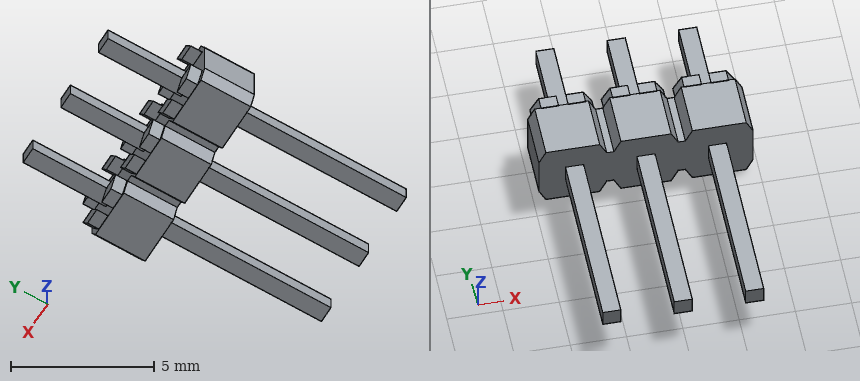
import cadquery as cq
import math

pin_count = 3
pitch = 2.54
pin_width = 0.65
pin_length = 12.15

body_length = pin_count * pitch
body_height = pitch
body_back = 2.71
body_front = 0.68
bevel_height = 0.5
bevel_width = bevel_height / 2
notch_floor_width = 0.25

foot_length = 0.46
foot_top = 1.24
foot_bottom = 0.69
foot_inner_top = 0.17
foot_outer_top = 0.79
foot_slope_angle = 30

foot_slope_run = (foot_top - foot_bottom) * math.tan(math.radians(foot_slope_angle))
notch_mouth_width = notch_floor_width + 2 * bevel_width
body_depth = body_back - body_front
pin_positions = [(i - (pin_count - 1) / 2) * pitch for i in range(pin_count)]
notch_positions = [x + pitch / 2 for x in pin_positions[:-1]]


def extrude_along_y(points, y_start, depth):
    """Extrude an XZ outline from y_start towards +Y."""
    return cq.Workplane("XZ", origin=(0, y_start, 0)).polyline(points).close().extrude(-depth)


def make_body():
    """Block with beveled ends and a tapered notch above and below between pins."""
    half_length = body_length / 2
    half_height = body_height / 2
    shoulder = half_height - bevel_height
    top_end = half_length - bevel_width
    upper_edge = [(-half_length, shoulder), (-top_end, half_height)]
    for x in notch_positions:
        upper_edge += [
            (x - notch_mouth_width / 2, half_height),
            (x - notch_floor_width / 2, shoulder),
            (x + notch_floor_width / 2, shoulder),
            (x + notch_mouth_width / 2, half_height),
        ]
    upper_edge += [(top_end, half_height), (half_length, shoulder)]
    lower_edge = [(x, -z) for x, z in reversed(upper_edge)]
    return extrude_along_y(upper_edge + lower_edge, body_front, body_depth)


def make_foot(pin_x, side_x, side_z):
    """Parallelogram foot leaning away from the pin, in one quadrant around it."""
    quadrant_outline = [
        (foot_inner_top + foot_slope_run, foot_bottom),
        (foot_outer_top + foot_slope_run, foot_bottom),
        (foot_outer_top, foot_top),
        (foot_inner_top, foot_top),
    ]
    points = [(pin_x + side_x * x, side_z * z) for x, z in quadrant_outline]
    return extrude_along_y(points, body_back, foot_length)


def make_pin(pin_x):
    """Square pin running the full length along Y."""
    return cq.Workplane("XY").box(pin_width, pin_length, pin_width).translate((pin_x, 0, 0))


result = make_body()
for pin_x in pin_positions:
    result = result.union(make_pin(pin_x))
    for side_x in (-1, 1):
        for side_z in (-1, 1):
            result = result.union(make_foot(pin_x, side_x, side_z))